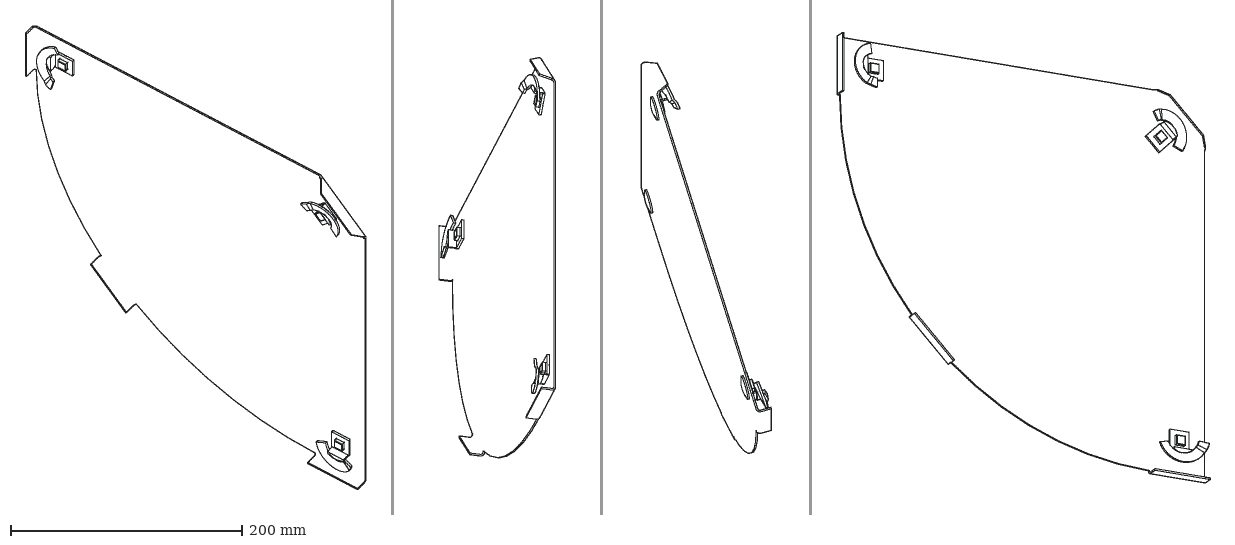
import cadquery as cq
import math

SIZE = 354.5
SHEET = 1.6
BEND_RADIUS = 3.5
FLANGE_DEPTH = 12.8
FLANGE_LENGTH = 53.2
CORNER_CUT = 50.0
CORNER_TAPER = FLANGE_DEPTH - BEND_RADIUS

ARC_CENTRE = SIZE - FLANGE_LENGTH
ARC_RADIUS = ARC_CENTRE - BEND_RADIUS
DIAGONAL = math.sqrt(0.5)

END_INSET = 34.5
SIDE_INSET = 25.0
CORNER_INSET = 44.0
LOCKS = [
    (END_INSET, SIZE - SIDE_INSET, 180),
    (SIZE - SIDE_INSET, END_INSET, 270),
    (SIZE - CORNER_INSET, SIZE - CORNER_INSET, 45),
]

BARREL_DIAMETER = 16.5
HEAD_DIAMETER = 21.0
HEAD_RIM = 1.5
HEAD_HEIGHT = 3.5

SPINDLE_SIDE = 8.5
SPINDLE_LENGTH = 5.3
SPINDLE_CHAMFER = 0.53

BASE_LENGTH = 19.0
BASE_WIDTH = 18.5
BASE_THICKNESS = 2.0
WALL_THICKNESS = 1.5
WALL_WIDTH = 17.0
WEB_BOTTOM = 5.0
WEB_TOP = 9.2
ARM_INNER_RADIUS = 13.0
ARM_OUTER_RADIUS = 22.0
ARM_THICKNESS = 2.0
ARM_DISH = 2.0
ARM_START_ANGLE = -75.0
STEP_START_ANGLE = 57.0
TIP_START_ANGLE = 65.0
TIP_END_ANGLE = 81.0
ARM_START_HEIGHT = 4.0
STEP_START_HEIGHT = 10.0
TIP_START_HEIGHT = 11.7
TIP_END_HEIGHT = 12.6
WEB_OVERLAP = 0.5
ARM_JOIN_TOLERANCE = 0.001


def place(body, x, z, angle):
    """Turn a body built toward +X to the given angle in the XZ plane and move its origin to (x, z)."""
    return body.rotate((0, 0, 0), (0, 1, 0), -angle).translate((x, 0, z))


def make_flange(length):
    """Bend and flange pointing to +X; the bend starts at X = 0 on the panel and runs along Z."""
    inner_radius = BEND_RADIUS - SHEET
    bend_centre_y = SHEET - BEND_RADIUS
    free_edge_y = SHEET - FLANGE_DEPTH
    return (
        cq.Workplane("XY")
        .moveTo(0, SHEET)
        .radiusArc((BEND_RADIUS, bend_centre_y), BEND_RADIUS)
        .lineTo(BEND_RADIUS, free_edge_y)
        .lineTo(inner_radius, free_edge_y)
        .lineTo(inner_radius, bend_centre_y)
        .radiusArc((0, 0), -inner_radius)
        .close()
        .extrude(length / 2, both=True)
    )


def make_corner_flange():
    """Flange on the cut corner: ends flush with the panel's sides, free edge tapered at 45 degrees."""
    length = CORNER_CUT / DIAGONAL
    free_edge_y = SHEET - FLANGE_DEPTH
    half_edge = length / 2 - BEND_RADIUS - CORNER_TAPER
    half_root = length / 2 - BEND_RADIUS
    taper_mask = (
        cq.Workplane("YZ")
        .polyline([
            (SHEET, -length / 2),
            (free_edge_y + CORNER_TAPER, -length / 2),
            (free_edge_y + CORNER_TAPER, -half_root),
            (free_edge_y, -half_edge),
            (free_edge_y, half_edge),
            (free_edge_y + CORNER_TAPER, half_root),
            (free_edge_y + CORNER_TAPER, length / 2),
            (SHEET, length / 2),
        ])
        .close()
        .extrude(BEND_RADIUS)
    )
    flange = make_flange(length).intersect(taper_mask)
    middle = SIZE - CORNER_CUT / 2
    envelope = cq.Workplane("XY").box(SIZE, SIZE, SIZE, centered=(False, True, False))
    return place(flange, middle, middle, 45).intersect(envelope)


def make_panel():
    """Sheet with its four flanges and a round hole for each lock barrel."""
    arc_middle = ARC_CENTRE - ARC_RADIUS * DIAGONAL
    sheet = (
        cq.Workplane("XZ")
        .moveTo(BEND_RADIUS, SIZE)
        .lineTo(SIZE - CORNER_CUT, SIZE)
        .lineTo(SIZE, SIZE - CORNER_CUT)
        .lineTo(SIZE, BEND_RADIUS)
        .lineTo(ARC_CENTRE, BEND_RADIUS)
        .threePointArc((arc_middle, arc_middle), (BEND_RADIUS, ARC_CENTRE))
        .close()
        .extrude(-SHEET)
    )
    tab_root = cq.Workplane("XY").box(
        BEND_RADIUS, SHEET, FLANGE_LENGTH, centered=(False, False, True)
    ).translate((-BEND_RADIUS, 0, 0))
    tab = tab_root.union(make_flange(FLANGE_LENGTH))
    end_middle = SIZE - FLANGE_LENGTH / 2
    panel = (
        sheet
        .union(place(make_flange(FLANGE_LENGTH), BEND_RADIUS, end_middle, 180))
        .union(place(make_flange(FLANGE_LENGTH), end_middle, BEND_RADIUS, 270))
        .union(place(tab, arc_middle, arc_middle, 225))
        .union(make_corner_flange())
    )
    for x, z, angle in LOCKS:
        barrel_hole = cq.Workplane("XZ").circle(BARREL_DIAMETER / 2).extrude(-SHEET)
        panel = panel.cut(place(barrel_hole, x, z, angle))
    return panel



def stand_up(body):
    """Turn the lock axis from +Z to -Y."""
    return body.rotate((0, 0, 0), (1, 0, 0), 90)


def make_head():
    """Domed round head against the panel's back, with a barrel that fills the panel hole."""
    rim_z = -SHEET - HEAD_RIM
    top_z = -SHEET - HEAD_HEIGHT
    dome_height = HEAD_HEIGHT - HEAD_RIM
    head_radius = HEAD_DIAMETER / 2
    dome_radius = (head_radius ** 2 + dome_height ** 2) / (2 * dome_height)
    head = (
        cq.Workplane("XZ")
        .moveTo(0, 0)
        .lineTo(BARREL_DIAMETER / 2, 0)
        .lineTo(BARREL_DIAMETER / 2, -SHEET)
        .lineTo(head_radius, -SHEET)
        .lineTo(head_radius, rim_z)
        .radiusArc((0, top_z), dome_radius)
        .close()
        .revolve(360, (0, 0, 0), (0, 1, 0))
    )
    return stand_up(head)


def make_spindle():
    """Square bar standing on the barrel, chamfered at its free end."""
    spindle = (
        cq.Workplane("XY")
        .rect(SPINDLE_SIDE, SPINDLE_SIDE)
        .extrude(SPINDLE_LENGTH)
        .faces(">Z")
        .chamfer(SPINDLE_CHAMFER)
    )
    return stand_up(spindle)


def make_arm_section(start_angle, end_angle, start_height, end_height):
    """Part of the arm that climbs evenly from one angle to the other."""
    rise = end_height - start_height
    pitch = rise * 360 / (end_angle - start_angle)
    path = cq.Wire.makeHelix(pitch, rise, ARM_INNER_RADIUS)
    section = (
        cq.Workplane("XZ")
        .moveTo(ARM_INNER_RADIUS, 0)
        .lineTo(ARM_OUTER_RADIUS, ARM_DISH)
        .lineTo(ARM_OUTER_RADIUS, ARM_DISH + ARM_THICKNESS)
        .lineTo(ARM_INNER_RADIUS, ARM_THICKNESS)
        .close()
        .sweep(cq.Workplane(path), isFrenet=True)
    )
    return section.rotate((0, 0, 0), (0, 0, 1), start_angle).translate((0, 0, start_height))


def make_arm():
    """Gentle ramp, short steep step and gentle tip, joined end to end."""
    ramp = make_arm_section(ARM_START_ANGLE, STEP_START_ANGLE, ARM_START_HEIGHT, STEP_START_HEIGHT)
    step = make_arm_section(STEP_START_ANGLE, TIP_START_ANGLE, STEP_START_HEIGHT, TIP_START_HEIGHT)
    tip = make_arm_section(TIP_START_ANGLE, TIP_END_ANGLE, TIP_START_HEIGHT, TIP_END_HEIGHT)
    return ramp.union(step, tol=ARM_JOIN_TOLERANCE).union(tip, tol=ARM_JOIN_TOLERANCE)


def make_cam():
    """Square base on the spindle, with the wall and web that carry the arm."""
    base = cq.Workplane("XY").rect(BASE_LENGTH, BASE_WIDTH).extrude(BASE_THICKNESS)
    spindle_hole = cq.Workplane("XY").rect(SPINDLE_SIDE, SPINDLE_SIDE).extrude(BASE_THICKNESS)
    wall_x = BASE_LENGTH / 2 - WALL_THICKNESS / 2
    wall = (
        cq.Workplane("XY")
        .box(WALL_THICKNESS, WALL_WIDTH, WEB_TOP, centered=(False, True, False))
        .translate((wall_x, 0, 0))
    )
    web_span = (
        cq.Workplane("XY")
        .box(ARM_OUTER_RADIUS, WALL_WIDTH, WEB_TOP, centered=(False, True, False))
        .translate((wall_x, 0, 0))
    )
    web = (
        cq.Workplane("XY")
        .workplane(offset=WEB_BOTTOM)
        .circle(ARM_INNER_RADIUS + WEB_OVERLAP)
        .extrude(WEB_TOP - WEB_BOTTOM)
        .intersect(web_span)
    )
    cam = base.cut(spindle_hole).union(wall).union(web).union(make_arm())
    return stand_up(cam)


panel = make_panel()
heads = []
spindles = []
cams = []
for lock_x, lock_z, cam_angle in LOCKS:
    heads.append(place(make_head(), lock_x, lock_z, cam_angle).val())
    spindles.append(place(make_spindle(), lock_x, lock_z, cam_angle).val())
    cams.append(place(make_cam(), lock_x, lock_z, cam_angle).val())

result = cq.Compound.makeCompound([panel.val(), *heads, *spindles, *cams])